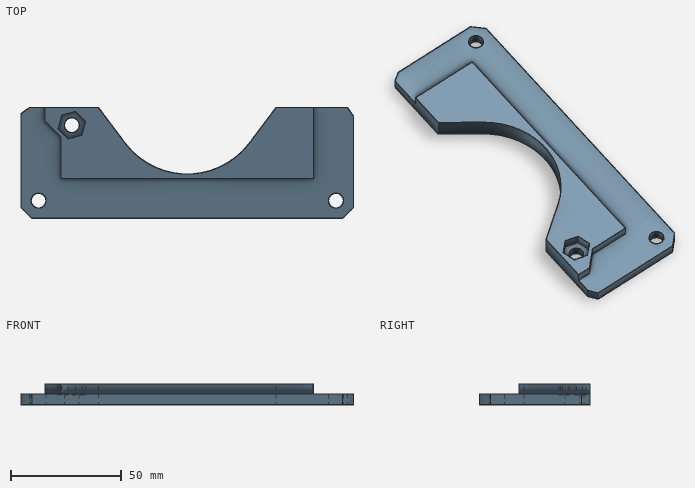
import cadquery as cq
import math

PLATE_LENGTH = 150.0
PLATE_WIDTH = 50.0
PLATE_THICKNESS = 5.0
FRONT_CHAMFER = 5.0
REAR_CHAMFER_LONG = 4.0
REAR_CHAMFER_SHORT = 2.8

PAD_THICKNESS = 4.5
PAD_INSET = 18.15
PAD_FRONT_Y = 17.9
PAD_EAR_LEFT = 10.8
PAD_EAR_FRONT_Y = 43.9

CUTOUT_RADIUS = 35.0
CUTOUT_BOTTOM_Y = 20.0
CUTOUT_MOUTH_HALF_WIDTH = 40.0

HOLE_DIAMETER = 6.6
HOLE_EDGE_DISTANCE = 8.0
NUT_HOLE_X = 23.0
NUT_ACROSS_CORNERS = 12.8
NUT_ROTATION = 15.0
NUT_POCKET_DEPTH = 5.0

CENTRE_X = PLATE_LENGTH / 2
TOTAL_THICKNESS = PLATE_THICKNESS + PAD_THICKNESS
NUT_HOLE_Y = PLATE_WIDTH - HOLE_EDGE_DISTANCE


def make_plate():
    """Plate with 45 degree front corners and unequal chamfers at the rear corners."""
    outline = [
        (FRONT_CHAMFER, 0),
        (PLATE_LENGTH - FRONT_CHAMFER, 0),
        (PLATE_LENGTH, FRONT_CHAMFER),
        (PLATE_LENGTH, PLATE_WIDTH - REAR_CHAMFER_LONG),
        (PLATE_LENGTH - REAR_CHAMFER_SHORT, PLATE_WIDTH),
        (REAR_CHAMFER_LONG, PLATE_WIDTH),
        (0, PLATE_WIDTH - REAR_CHAMFER_SHORT),
        (0, FRONT_CHAMFER),
    ]
    return cq.Workplane("XY").polyline(outline).close().extrude(PLATE_THICKNESS)


def make_pad():
    """Raised pad with an ear at the left that surrounds the nut pocket."""
    ear_step = PAD_INSET - PAD_EAR_LEFT
    outline = [
        (PAD_INSET, PAD_FRONT_Y),
        (PLATE_LENGTH - PAD_INSET, PAD_FRONT_Y),
        (PLATE_LENGTH - PAD_INSET, PLATE_WIDTH),
        (PAD_EAR_LEFT, PLATE_WIDTH),
        (PAD_EAR_LEFT, PAD_EAR_FRONT_Y),
        (PAD_INSET, PAD_EAR_FRONT_Y - ear_step),
    ]
    pad = cq.Workplane("XY").workplane(offset=PLATE_THICKNESS)
    return pad.polyline(outline).close().extrude(PAD_THICKNESS)


def make_cutout():
    """Through cutout whose flanks run tangent to the round bottom from the rear edge."""
    centre_y = CUTOUT_BOTTOM_Y + CUTOUT_RADIUS
    drop = PLATE_WIDTH - centre_y
    mouth_distance = math.hypot(CUTOUT_MOUTH_HALF_WIDTH, drop)
    mouth_angle = math.atan2(drop, CUTOUT_MOUTH_HALF_WIDTH)
    tangent_angle = mouth_angle - math.acos(CUTOUT_RADIUS / mouth_distance)
    tangent_x = CUTOUT_RADIUS * math.cos(tangent_angle)
    tangent_y = centre_y + CUTOUT_RADIUS * math.sin(tangent_angle)
    return (
        cq.Workplane("XY")
        .moveTo(CENTRE_X - CUTOUT_MOUTH_HALF_WIDTH, PLATE_WIDTH)
        .lineTo(CENTRE_X - tangent_x, tangent_y)
        .threePointArc((CENTRE_X, CUTOUT_BOTTOM_Y), (CENTRE_X + tangent_x, tangent_y))
        .lineTo(CENTRE_X + CUTOUT_MOUTH_HALF_WIDTH, PLATE_WIDTH)
        .close()
        .extrude(TOTAL_THICKNESS)
    )


def make_bolt_holes():
    """Two holes in the front corners and one under the nut pocket."""
    centres = [
        (HOLE_EDGE_DISTANCE, HOLE_EDGE_DISTANCE),
        (PLATE_LENGTH - HOLE_EDGE_DISTANCE, HOLE_EDGE_DISTANCE),
        (NUT_HOLE_X, NUT_HOLE_Y),
    ]
    return cq.Workplane("XY").pushPoints(centres).circle(HOLE_DIAMETER / 2).extrude(TOTAL_THICKNESS)


def make_nut_pocket():
    """Hexagonal pocket sunk from the top of the pad."""
    return (
        cq.Workplane("XY", origin=(NUT_HOLE_X, NUT_HOLE_Y, TOTAL_THICKNESS))
        .transformed(rotate=(0, 0, NUT_ROTATION))
        .polygon(6, NUT_ACROSS_CORNERS)
        .extrude(-NUT_POCKET_DEPTH)
    )


body = make_plate().union(make_pad())
result = body.cut(make_cutout()).cut(make_bolt_holes()).cut(make_nut_pocket())